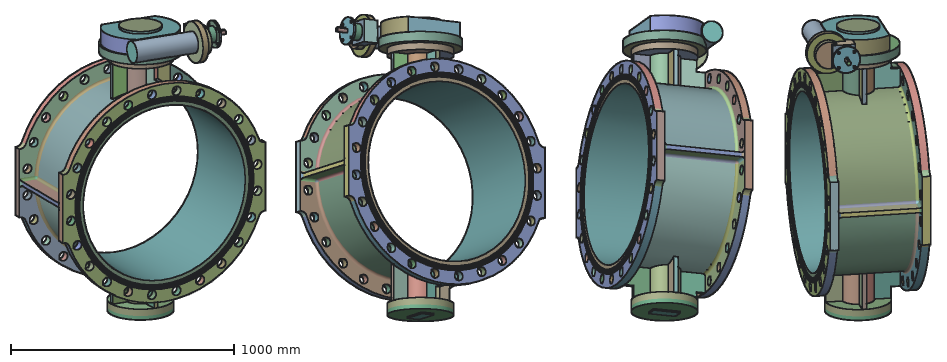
import cadquery as cq
import math


bore_dia = 819.0
body_dia = 849.0
flange_dia = 1025.0
flange_span = 460.0
flange_thickness = 39.0
root_radius = 12.0
pad_half_height = 161.0
pad_blend_radius = 30.0
bolt_count = 24
bolt_circle_dia = 950.0
bolt_hole_dia = 42.0

ridge_height = 4.0
ridge_outer_dias = (900.0, 884.0, 867.0)
ridge_width = 4.0

rib_thickness = 21.0
side_rib_reach = 504.0

neck_rib_thickness = 20.0
neck_rib_span = 291.0
neck_boss_dia = 145.0
mount_dia = 300.0
neck_top = 566.0
mount_thickness = 32.0
cover_thickness = 20.0
nameplate_length = 128.0
nameplate_width = 62.0
nameplate_thickness = 7.0

gear_flange_dia = 375.0
gear_flange_thickness = 43.0
gear_case_dia = 358.0
gear_case_height = 72.0
gear_case_left = -118.0
gear_case_right = 151.0
gear_cap_dia = 193.0
gear_cap_thickness = 11.0

drive_right = 273.0
drive_top = 763.0
worm_dia = 100.0
worm_start = -136.0
worm_flange_dia = 190.0
worm_flange_start = 173.0
worm_flange_end = 203.0
worm_cap_dia = 125.0
worm_cap_end = 236.0

input_x = 115.0
input_box_size = 104.0
input_box_start = 186.0
input_box_end = 257.0
input_neck_dia = 76.0
input_neck_end = 307.0
input_disc_dia = 125.0
input_disc_thickness = 10.0
input_hole_circle_dia = 100.0
input_hole_dia = 10.5
input_hole_count = 4
input_hole_first_angle = 45
shaft_dia = 20.0
shaft_end = 368.0
key_width = 5.0
key_start = 322.0
key_end = 364.0
key_rise = 4.0

half_span = flange_span / 2
inner_face = half_span - flange_thickness
flange_radius = flange_dia / 2
mount_top = neck_top + mount_thickness
worm_x = drive_right - worm_flange_dia / 2
drive_z = drive_top - worm_flange_dia / 2
pick_tolerance = 0.1


def cylinder_x(dia, x_start, x_end):
    return cq.Workplane("YZ", origin=(x_start, 0, 0)).circle(dia / 2).extrude(x_end - x_start)


def cylinder_y(dia, x, y_start, y_end):
    plane = cq.Workplane("XZ", origin=(x, y_start, drive_z))
    return plane.circle(dia / 2).extrude(y_start - y_end)


def cylinder_z(dia, z_start, z_end):
    return cq.Workplane("XY", origin=(0, 0, z_start)).circle(dia / 2).extrude(z_end - z_start)


def block(x_range, y_range, z_range):
    ranges = (x_range, y_range, z_range)
    sizes = [high - low for low, high in ranges]
    middle = tuple((low + high) / 2 for low, high in ranges)
    return cq.Workplane("XY").box(*sizes).translate(middle)


def flange(x_start):
    """Round flange with a square pad on each side, blended into the rim."""
    x_end = x_start + flange_thickness
    x_range = (x_start, x_end)
    disc = cylinder_x(flange_dia, *x_range)
    pads = block(x_range, (-flange_radius, flange_radius), (-pad_half_height, pad_half_height))
    pads = pads.cut(cylinder_x(bore_dia, *x_range))
    corner_y = math.sqrt(flange_radius ** 2 - pad_half_height ** 2)
    plate = disc.union(pads)
    for y in (-corner_y, corner_y):
        for z in (-pad_half_height, pad_half_height):
            low = (x_start, y - pick_tolerance, z - pick_tolerance)
            high = (x_end, y + pick_tolerance, z + pick_tolerance)
            corner = cq.selectors.BoxSelector(low, high)
            plate = plate.edges("|X").edges(corner).fillet(pad_blend_radius)
    return plate


def side_ribs():
    """One bar right across the pipe, later hollowed by the bore."""
    half = rib_thickness / 2
    return block((-inner_face, inner_face), (-flange_radius, flange_radius), (-half, half))


def rib_relief(side):
    """Space outside a side rib, rounded where it meets the flanges."""
    relief_end = side_rib_reach + 4 * root_radius
    y_range = sorted((side * side_rib_reach, side * relief_end))
    half_height = rib_thickness / 2 + root_radius
    space = block((-inner_face, inner_face), y_range, (-half_height, half_height))
    return space.edges("|Z").fillet(root_radius)


def touches_body(edge):
    """True for the edges that start or end on the outside of the pipe wall."""
    ends = (edge.startPoint(), edge.endPoint())
    return any(abs(math.hypot(end.y, end.z) - body_dia / 2) < pick_tolerance for end in ends)


def pipe_body():
    """Pipe wall, flanges and side ribs with rounded root edges, still without a bore."""
    body = cylinder_x(body_dia, -half_span, half_span)
    body = body.union(flange(-half_span)).union(flange(inner_face)).union(side_ribs())
    body = body.edges().filter(touches_body).fillet(root_radius)
    return body.cut(rib_relief(1)).cut(rib_relief(-1))


def neck(top):
    """Boss with crossed ribs carrying a round mounting plate."""
    half_rib = neck_rib_thickness / 2
    half_width = neck_rib_span / 2
    rib_x = mount_dia / 2
    part = cylinder_z(neck_boss_dia, 0, top)
    part = part.union(block((-half_rib, half_rib), (-half_width, half_width), (0, top)))
    part = part.union(block((-rib_x, rib_x), (-half_rib, half_rib), (0, top)))
    part = part.union(block((-inner_face, inner_face), (-half_rib, half_rib), (0, flange_radius)))
    return part.union(cylinder_z(mount_dia, top, top + mount_thickness))


def bolt_holes():
    spacing = 360 / bolt_count
    plane = cq.Workplane("YZ", origin=(-half_span, 0, 0))
    points = plane.polarArray(bolt_circle_dia / 2, spacing / 2, 360, bolt_count)
    holes = points.circle(bolt_hole_dia / 2).extrude(flange_thickness)
    return holes.union(holes.mirror("YZ"))


def sealing_ridges():
    """Narrow concentric rings standing on both flange faces."""
    x_range = (half_span, half_span + ridge_height)
    ridges = cq.Workplane("XY")
    for dia in ridge_outer_dias:
        ring = cylinder_x(dia, *x_range).cut(cylinder_x(dia - 2 * ridge_width, *x_range))
        ridges = ridges.add(ring).add(ring.mirror("YZ"))
    return ridges.combine()


def bottom_cover():
    cover_end = -mount_top - cover_thickness
    cover = cylinder_z(mount_dia, cover_end, -mount_top)
    half_length = nameplate_length / 2
    half_width = nameplate_width / 2
    plate_range = (cover_end - nameplate_thickness, cover_end)
    plate = block((-half_length, half_length), (-half_width, half_width), plate_range)
    return cover.union(plate)


def gearbox():
    case_start = mount_top + gear_flange_thickness
    case_end = case_start + gear_case_height
    half_case = gear_case_dia / 2
    case_limits = block((gear_case_left, gear_case_right), (-half_case, half_case), (case_start, case_end))
    case = cylinder_z(gear_case_dia, case_start, case_end).intersect(case_limits)
    cap = cylinder_z(gear_cap_dia, case_end, case_end + gear_cap_thickness)
    return cylinder_z(gear_flange_dia, mount_top, case_start).union(case).union(cap)


def worm_housing():
    housing = cylinder_y(worm_dia, worm_x, worm_start, worm_flange_start)
    housing = housing.union(cylinder_y(worm_flange_dia, worm_x, worm_flange_start, worm_flange_end))
    return housing.union(cylinder_y(worm_cap_dia, worm_x, worm_flange_end, worm_cap_end))


def input_drive():
    """Square box, neck, drilled disc and keyed shaft."""
    half_box = input_box_size / 2
    disc_end = input_neck_end + input_disc_thickness
    drive = block(
        (input_x - half_box, input_x + half_box),
        (input_box_start, input_box_end),
        (drive_z - half_box, drive_z + half_box),
    )
    drive = drive.union(cylinder_y(input_neck_dia, input_x, input_box_end, input_neck_end))
    disc = cylinder_y(input_disc_dia, input_x, input_neck_end, disc_end)
    holes = (
        cq.Workplane("XZ", origin=(input_x, input_neck_end, drive_z))
        .polarArray(input_hole_circle_dia / 2, input_hole_first_angle, 360, input_hole_count)
        .circle(input_hole_dia / 2)
        .extrude(-input_disc_thickness)
    )
    shaft = cylinder_y(shaft_dia, input_x, disc_end, shaft_end)
    key_top = drive_z + shaft_dia / 2 + key_rise
    half_key = key_width / 2
    key = block((input_x - half_key, input_x + half_key), (key_start, key_end), (drive_z, key_top))
    return drive.union(disc.cut(holes)).union(shaft).union(key)


upper_neck = neck(neck_top)
valve = pipe_body().union(upper_neck).union(upper_neck.mirror("XY"))
valve = valve.cut(cylinder_x(bore_dia, -half_span, half_span)).cut(bolt_holes())
valve = valve.union(sealing_ridges()).union(bottom_cover())
result = valve.union(gearbox()).union(worm_housing()).union(input_drive())